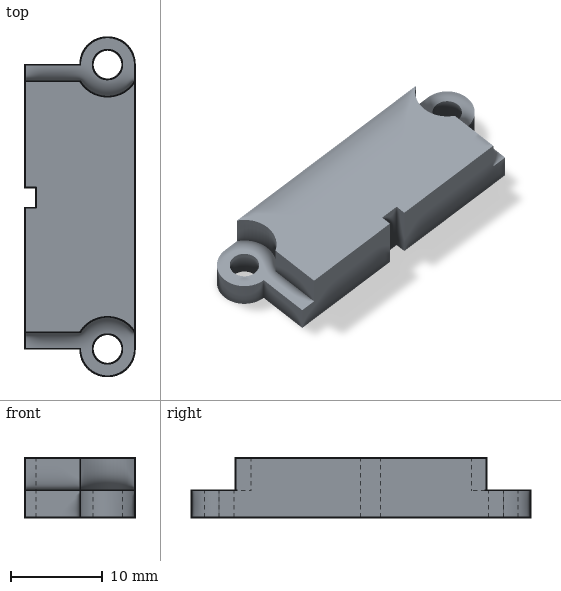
import cadquery as cq
import math

width = 12.0
base_height = 3.0
total_height = 6.5

lug_radius = 3.0
hole_diameter = 3.2
lug_spacing = 31.0
clearance_radius = 3.5

notch_depth = 1.2
notch_length = 2.2
notch_center_y = 1.0

left_x = -width / 2
lug_x = width / 2 - lug_radius
lug_y = lug_spacing / 2
block_half_length = lug_y - math.sqrt(clearance_radius**2 - lug_radius**2)

lug_centers = [(lug_x, -lug_y), (lug_x, lug_y)]


def make_base():
    """Flat plate with a round lug at each end."""
    plate = cq.Workplane("XY").box(width, lug_spacing, base_height, centered=(True, True, False))
    lugs = cq.Workplane("XY").pushPoints(lug_centers).circle(lug_radius).extrude(base_height)
    return plate.union(lugs)


def make_block():
    """Raised block with round reliefs that clear the screw heads."""
    block_height = total_height - base_height
    top_of_base = cq.Workplane("XY").workplane(offset=base_height)
    block = top_of_base.box(width, 2 * block_half_length, block_height, centered=(True, True, False))
    reliefs = top_of_base.pushPoints(lug_centers).circle(clearance_radius).extrude(block_height)
    return block.cut(reliefs)


def make_holes():
    """Through holes on the lug centres."""
    return cq.Workplane("XY").pushPoints(lug_centers).circle(hole_diameter / 2).extrude(base_height)


def make_notch():
    """Full-height slot open to the -X side."""
    return (
        cq.Workplane("XY")
        .box(notch_depth, notch_length, total_height, centered=False)
        .translate((left_x, notch_center_y - notch_length / 2, 0))
    )


result = make_base().union(make_block()).cut(make_holes()).cut(make_notch())